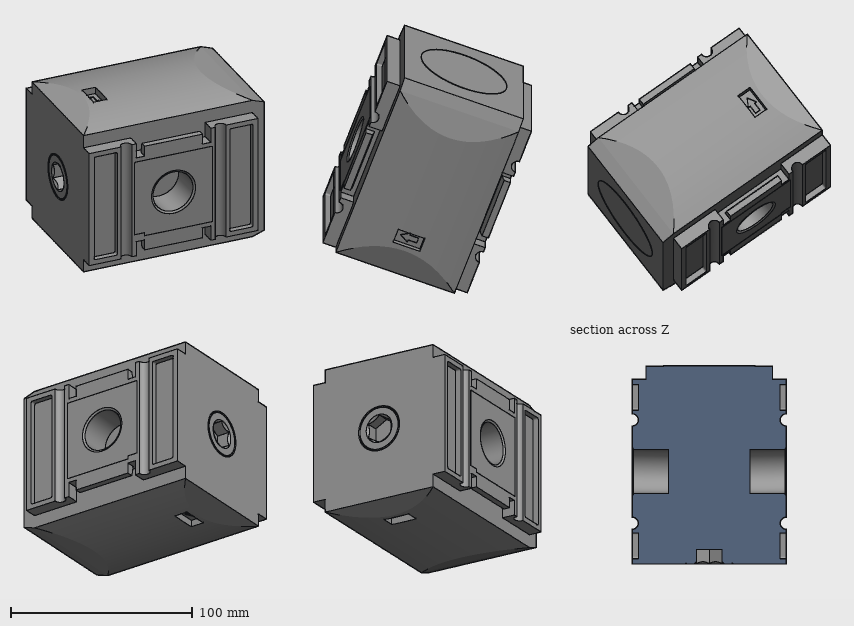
import cadquery as cq
import math

WIDTH = 85.0
CORE_HEIGHT = 85.0
HEIGHT = 93.25
CORE_WIDTH = 69.8
FLANGE_HEIGHT = 69.8
BODY_LENGTH = 102.0
END_SLOPE = math.radians(15.0)

COVER_LENGTH = 7.2
COVER_TAPER = 2.5
BOSS_DIAMETER = 50.4
BOSS_HEIGHT = 0.3

GROOVE_OFFSET = 28.5
GROOVE_DIAMETER = 6.5
GROOVE_DEPTH = 3.35
POCKET_OFFSET = 40.95
POCKET_LENGTH = 14.0
POCKET_HEIGHT = 64.0
POCKET_DEPTH = 3.4
POCKET_CORNER_RADIUS = 1.0
GAP_LENGTH = 45.0
GAP_FLOOR = 26.1
LUG_LENGTH = 35.0
LUG_TOP = 32.3
LUG_THICKNESS_TOP = 3.75
LUG_THICKNESS_ROOT = 5.1

PANEL_SIZE = 47.0
PANEL_CORNER_RADIUS = 0.5
PANEL_DEPTH = 0.1
PANEL_STEP_LENGTH = 6.0
PANEL_STEP_HEIGHT = 1.9
PORT_DIAMETER = 24.12
PORT_MOUTH_DIAMETER = 26.6
PORT_MOUTH_ANGLE = math.radians(30.0)
PORT_DEPTH = 20.0

PLUG_GROOVE_OUTER = 26.5
PLUG_GROOVE_INNER = 24.6
HEX_ACROSS_FLATS = 14.0
HEX_DEPTH = 8.0
HEX_HALF_SIDE_ANGLE = 30.0
HEX_MOUTH_DIAMETER = 16.6
HEX_MOUTH_ANGLE = math.radians(45.0)

WINDOW_OFFSET = -28.8
WINDOW_WIDTH = 15.7
WINDOW_LENGTH = 8.1
ARROW_DEPTH = 0.5
ARROW_LENGTH = 10.0
ARROW_SHAFT_WIDTH = 3.0
ARROW_HEAD_WIDTH = 5.6

HALF_WIDTH = WIDTH / 2
HALF_CORE_WIDTH = CORE_WIDTH / 2
HALF_CORE_HEIGHT = CORE_HEIGHT / 2
FRONT_Y = -BODY_LENGTH / 2
REAR_Y = BODY_LENGTH / 2
CROWN = HEIGHT / 2 - HALF_CORE_HEIGHT


def box_between(x, y, z):
    """Box spanning the given (low, high) pairs."""
    sizes = [high - low for low, high in (x, y, z)]
    corner = (x[0], y[0], z[0])
    return cq.Workplane("XY").box(*sizes, centered=False).translate(corner)


def both_sides(shape):
    """A -X side feature together with its mirror image on the +X side."""
    return shape.union(shape.mirror("YZ"))


def cone_along(start, direction, radius_start, radius_end, length):
    """Cone starting at a point and narrowing along the given direction."""
    return cq.Workplane(
        cq.Solid.makeCone(radius_start, radius_end, length, cq.Vector(*start), cq.Vector(*direction))
    )


def make_core():
    """Crowned block with a bevel through the crowns at each end."""
    profile = (
        cq.Workplane("XZ", origin=(0, REAR_Y, 0))
        .moveTo(-HALF_CORE_WIDTH, -HALF_CORE_HEIGHT)
        .threePointArc((0, -HEIGHT / 2), (HALF_CORE_WIDTH, -HALF_CORE_HEIGHT))
        .lineTo(HALF_CORE_WIDTH, HALF_CORE_HEIGHT)
        .threePointArc((0, HEIGHT / 2), (-HALF_CORE_WIDTH, HALF_CORE_HEIGHT))
        .close()
        .extrude(BODY_LENGTH)
    )
    bevel_run = CROWN / math.tan(END_SLOPE)
    beveled_outline = [
        (FRONT_Y, -HALF_CORE_HEIGHT),
        (FRONT_Y, HALF_CORE_HEIGHT),
        (FRONT_Y + bevel_run, HEIGHT / 2),
        (REAR_Y - bevel_run, HEIGHT / 2),
        (REAR_Y, HALF_CORE_HEIGHT),
        (REAR_Y, -HALF_CORE_HEIGHT),
        (REAR_Y - bevel_run, -HEIGHT / 2),
        (FRONT_Y + bevel_run, -HEIGHT / 2),
    ]
    envelope = cq.Workplane("YZ").polyline(beveled_outline).close().extrude(HALF_WIDTH, both=True)
    return profile.intersect(envelope)


def make_rear_cover():
    """Cover tapering toward the rear, with a low round boss on its face."""
    rear_half_height = HALF_CORE_HEIGHT - COVER_TAPER
    cover_rear = REAR_Y + COVER_LENGTH
    outline = [
        (REAR_Y, -HALF_CORE_HEIGHT),
        (REAR_Y, HALF_CORE_HEIGHT),
        (cover_rear, rear_half_height),
        (cover_rear, -rear_half_height),
    ]
    cover = cq.Workplane("YZ").polyline(outline).close().extrude(HALF_CORE_WIDTH, both=True)
    boss = (
        cq.Workplane("XZ", origin=(0, cover_rear, 0))
        .circle(BOSS_DIAMETER / 2)
        .extrude(-BOSS_HEIGHT)
    )
    return cover.union(boss)


def make_lug():
    """Lug in the upper flange opening, thicker at its root; reaches down to the opening floor."""
    outline = [
        (-HALF_WIDTH, GAP_FLOOR),
        (-HALF_WIDTH, LUG_TOP),
        (-HALF_WIDTH + LUG_THICKNESS_TOP, LUG_TOP),
        (-HALF_WIDTH + LUG_THICKNESS_ROOT, GAP_FLOOR),
    ]
    return cq.Workplane("XZ").polyline(outline).close().extrude(LUG_LENGTH / 2, both=True)


def make_flange():
    """The -X flange with its openings, lugs, grooves and tall pockets."""
    flange_x = (-HALF_WIDTH, -HALF_CORE_WIDTH)
    half_height = FLANGE_HEIGHT / 2
    flange = box_between(flange_x, (FRONT_Y, REAR_Y), (-half_height, half_height))

    opening = box_between(flange_x, (-GAP_LENGTH / 2, GAP_LENGTH / 2), (GAP_FLOOR, half_height))
    opening = opening.cut(make_lug())
    flange = flange.cut(opening).cut(opening.mirror("XY"))

    groove_x = -HALF_WIDTH + GROOVE_DEPTH - GROOVE_DIAMETER / 2
    for side in (-1, 1):
        groove = (
            cq.Workplane("XY")
            .center(groove_x, side * GROOVE_OFFSET)
            .circle(GROOVE_DIAMETER / 2)
            .extrude(half_height, both=True)
        )
        pocket = (
            cq.Workplane("YZ", origin=(-HALF_WIDTH, side * POCKET_OFFSET, 0))
            .rect(POCKET_LENGTH, POCKET_HEIGHT)
            .extrude(POCKET_DEPTH)
            .edges("|X")
            .fillet(POCKET_CORNER_RADIUS)
        )
        flange = flange.cut(groove).cut(pocket)
    return flange


def make_port_cut():
    """Shallow panel recess and chamfered blind port in the -X face."""
    half_panel = PANEL_SIZE / 2
    panel = (
        cq.Workplane("YZ", origin=(-HALF_WIDTH, 0, 0))
        .rect(PANEL_SIZE, PANEL_SIZE)
        .extrude(PANEL_DEPTH)
        .edges("|X")
        .fillet(PANEL_CORNER_RADIUS)
    )
    step = box_between(
        (-HALF_WIDTH, -HALF_WIDTH + PANEL_DEPTH),
        (-half_panel, -half_panel + PANEL_STEP_LENGTH),
        (-half_panel, -half_panel + PANEL_STEP_HEIGHT),
    )
    bore = cq.Workplane("YZ", origin=(-HALF_WIDTH, 0, 0)).circle(PORT_DIAMETER / 2).extrude(PORT_DEPTH)
    mouth_depth = (PORT_MOUTH_DIAMETER - PORT_DIAMETER) / 2 * math.tan(PORT_MOUTH_ANGLE)
    mouth = cone_along(
        (-HALF_WIDTH + PANEL_DEPTH, 0, 0), (1, 0, 0), PORT_MOUTH_DIAMETER / 2, PORT_DIAMETER / 2, mouth_depth
    )
    return panel.cut(step).union(bore).union(mouth)


def make_plug_cut():
    """V-groove around the front plug and its hexagon socket with a conical mouth."""
    outer = PLUG_GROOVE_OUTER / 2
    inner = PLUG_GROOVE_INNER / 2
    groove_depth = (outer - inner) / 2
    groove = (
        cq.Workplane("XY")
        .polyline([(inner, FRONT_Y), (outer, FRONT_Y), ((inner + outer) / 2, FRONT_Y + groove_depth)])
        .close()
        .revolve(360, (0, 0, 0), (0, 1, 0))
    )
    across_corners = HEX_ACROSS_FLATS / math.cos(math.radians(HEX_HALF_SIDE_ANGLE))
    socket = (
        cq.Workplane("XZ", origin=(0, FRONT_Y, 0))
        .transformed(rotate=(0, 0, HEX_HALF_SIDE_ANGLE))
        .polygon(6, across_corners)
        .extrude(-HEX_DEPTH)
    )
    mouth_depth = (HEX_MOUTH_DIAMETER - HEX_ACROSS_FLATS) / 2 * math.tan(HEX_MOUTH_ANGLE)
    mouth = cone_along(
        (0, FRONT_Y, 0), (0, 1, 0), HEX_MOUTH_DIAMETER / 2, HEX_ACROSS_FLATS / 2, mouth_depth
    )
    return groove.union(socket).union(mouth)


def make_window_cut():
    """Window through the upper crown, with an arrow pointing to +X sunk in its floor."""
    window = (
        cq.Workplane("XY", origin=(0, WINDOW_OFFSET, HALF_CORE_HEIGHT))
        .rect(WINDOW_WIDTH, WINDOW_LENGTH)
        .extrude(CROWN)
    )
    tip_x = ARROW_LENGTH / 2
    half_shaft = ARROW_SHAFT_WIDTH / 2
    half_head = ARROW_HEAD_WIDTH / 2
    arrow = (
        cq.Workplane("XY", origin=(0, WINDOW_OFFSET, HALF_CORE_HEIGHT))
        .polyline([
            (-tip_x, -half_shaft),
            (0, -half_shaft),
            (0, -half_head),
            (tip_x, 0),
            (0, half_head),
            (0, half_shaft),
            (-tip_x, half_shaft),
        ])
        .close()
        .extrude(-ARROW_DEPTH)
    )
    return window.union(arrow)


window_cut = make_window_cut()
result = (
    make_core()
    .union(make_rear_cover())
    .union(both_sides(make_flange()))
    .cut(both_sides(make_port_cut()))
    .cut(make_plug_cut())
    .cut(window_cut)
    .cut(window_cut.mirror("XY"))
)